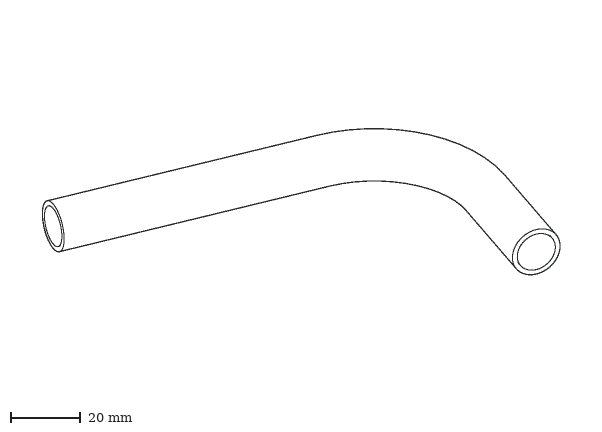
import cadquery as cq

length_x = 77.5
length_y = 127.5

outer_diameter = 15.0
inner_diameter = 12.0
bend_radius = 34.9

bend_extent = bend_radius + outer_diameter / 2
short_leg = length_x - bend_extent
long_leg = length_y - bend_extent


def swept_rod(diameter):
    """Solid round rod: long leg along +Y, quarter bend, short leg along +X."""
    section = cq.Workplane("XZ").circle(diameter / 2)
    leg_along_y = section.extrude(-long_leg)

    bend = (
        cq.Workplane("XZ", origin=(0, long_leg, 0))
        .circle(diameter / 2)
        .revolve(90, (bend_radius, 0, 0), (bend_radius, -1, 0))
    )

    leg_along_x = (
        cq.Workplane("YZ", origin=(bend_radius, long_leg + bend_radius, 0))
        .circle(diameter / 2)
        .extrude(short_leg)
    )
    return leg_along_y.union(bend).union(leg_along_x)


result = swept_rod(outer_diameter).cut(swept_rod(inner_diameter))